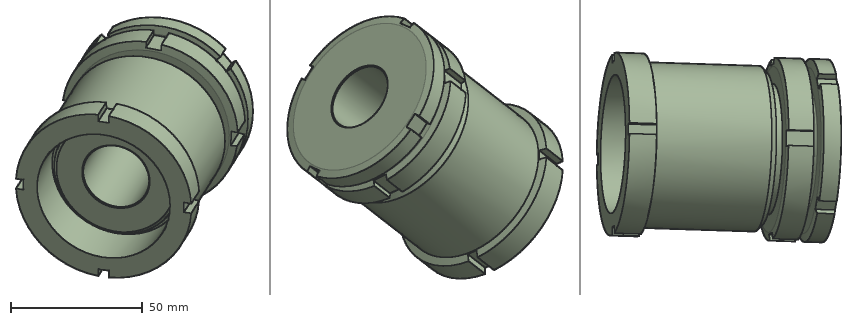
import cadquery as cq
import math


rim_radius = 35.0
rim_face_radius = 31.7
rim_bevel_length = 0.6
thread_radius = 25.0
notch_count = 4
overall_length = 82.78

flange_length = 11.2
flange_bevel_length = 0.7
sleeve_radius = rim_face_radius
sleeve_length = 58.0
sleeve_chamfer = 2.2
counterbore_radius = 26.5
counterbore_depth = 20.0
sleeve_notch_width = 4.2
sleeve_notch_depth = 3.0

nut_length = 11.0
nut_front = 61.15
nut_rotation = 2.7

head_length = 8.0
head_front = overall_length - head_length
head_rotation = 45.0 + 3.4
spindle_front = 16.4
spindle_chamfer = 1.3
relief_depth = 1.3
relief_radius = thread_radius - relief_depth
relief_straight = 0.5
relief_fillet = 0.8
relief_taper_angle = math.radians(45)
spindle_bore_radius = 13.1
bore_chamfer = 0.4

wrench_notch_width = 6.0
wrench_notch_depth = 2.5


def revolve_about_y(profile):
    """Solid of revolution from a closed profile in the XY plane, where X is the radius."""
    return profile.revolve(360, (0, 0, 0), (0, 1, 0))


def cut_rim_notches(body, width, depth, front, length, rotation=0.0):
    """Cut equally spaced rectangular notches along the full length of a rim."""
    floor_radius = rim_radius - depth
    for index in range(notch_count):
        notch = (
            cq.Workplane("XY")
            .box(width, length, 2 * depth, centered=(True, False, False))
            .translate((0, front, floor_radius))
            .rotate((0, 0, 0), (0, 1, 0), rotation + index * 360 / notch_count)
        )
        body = body.cut(notch)
    return body


def make_sleeve():
    outline = [
        (counterbore_radius, 0),
        (rim_radius, 0),
        (rim_radius, flange_length - flange_bevel_length),
        (sleeve_radius, flange_length),
        (sleeve_radius, sleeve_length - sleeve_chamfer),
        (sleeve_radius - sleeve_chamfer, sleeve_length),
        (thread_radius, sleeve_length),
        (thread_radius, counterbore_depth),
        (counterbore_radius, counterbore_depth),
    ]
    body = revolve_about_y(cq.Workplane("XY").polyline(outline).close())
    return cut_rim_notches(body, sleeve_notch_width, sleeve_notch_depth, 0, flange_length)


def make_lock_nut():
    nut_rear = nut_front + nut_length
    outline = [
        (thread_radius, nut_front),
        (rim_face_radius, nut_front),
        (rim_radius, nut_front + rim_bevel_length),
        (rim_radius, nut_rear - rim_bevel_length),
        (rim_face_radius, nut_rear),
        (thread_radius, nut_rear),
    ]
    body = revolve_about_y(cq.Workplane("XY").polyline(outline).close())
    return cut_rim_notches(
        body, wrench_notch_width, wrench_notch_depth, nut_front, nut_length, nut_rotation
    )


def make_spindle():
    bore_mouth_radius = spindle_bore_radius + bore_chamfer

    neck_rear = head_front - relief_fillet
    neck_front = neck_rear - relief_straight
    blend_front = neck_front - relief_fillet * math.sin(relief_taper_angle)
    blend_radius = relief_radius + relief_fillet * (1 - math.cos(relief_taper_angle))
    taper_length = (thread_radius - blend_radius) / math.tan(relief_taper_angle)
    blend_middle = (
        relief_radius + relief_fillet * (1 - math.cos(relief_taper_angle / 2)),
        neck_front - relief_fillet * math.sin(relief_taper_angle / 2),
    )
    fillet_middle = (
        relief_radius + relief_fillet * (1 - math.cos(math.pi / 4)),
        neck_rear + relief_fillet * math.sin(math.pi / 4),
    )

    profile = (
        cq.Workplane("XY")
        .moveTo(bore_mouth_radius, spindle_front)
        .lineTo(thread_radius - spindle_chamfer, spindle_front)
        .lineTo(thread_radius, spindle_front + spindle_chamfer)
        .lineTo(thread_radius, blend_front - taper_length)
        .lineTo(blend_radius, blend_front)
        .threePointArc(blend_middle, (relief_radius, neck_front))
        .lineTo(relief_radius, neck_rear)
        .threePointArc(fillet_middle, (relief_radius + relief_fillet, head_front))
        .lineTo(rim_face_radius, head_front)
        .lineTo(rim_radius, head_front + rim_bevel_length)
        .lineTo(rim_radius, overall_length - rim_bevel_length)
        .lineTo(rim_face_radius, overall_length)
        .lineTo(bore_mouth_radius, overall_length)
        .lineTo(spindle_bore_radius, overall_length - bore_chamfer)
        .lineTo(spindle_bore_radius, spindle_front + bore_chamfer)
        .close()
    )
    body = revolve_about_y(profile)
    return cut_rim_notches(
        body, wrench_notch_width, wrench_notch_depth, head_front, head_length, head_rotation
    )


sleeve = make_sleeve()
lock_nut = make_lock_nut()
spindle = make_spindle()

result = cq.Compound.makeCompound([sleeve.val(), lock_nut.val(), spindle.val()])